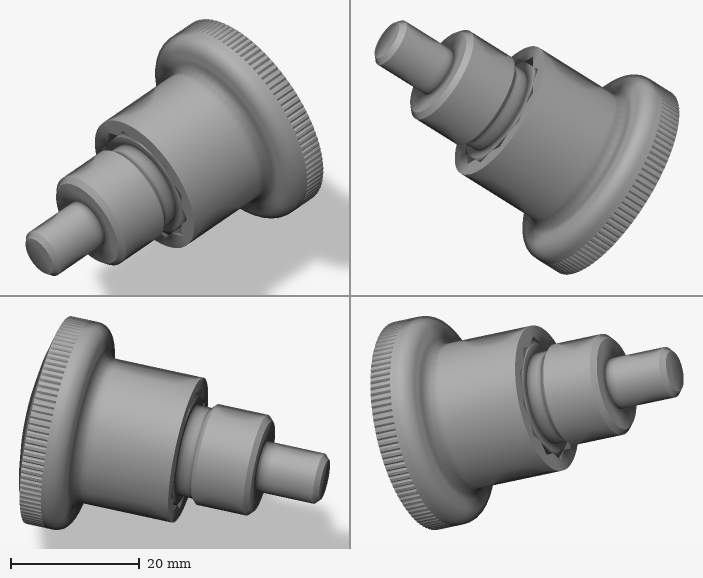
import cadquery as cq
import math

LENGTH = 47.4
TIP_Y = -22.0
THREAD_END_Y = -12.0
NECK_END_Y = -2.35
SLEEVE_TOP_Y = 14.05
KNURL_START_Y = 19.1
RIM_TOP_Y = 22.5
APEX_Y = TIP_Y + LENGTH

KNOB_R = 16.5
SLEEVE_R = 11.5
RIM_FILLET = 2.25
SLEEVE_FILLET = 1.5
UNDERSIDE_SLOPE = math.radians(10)

GROOVE_COUNT = 100
GROOVE_DEPTH = 0.3
GROOVE_ANGLE = math.radians(90)

HEX_FLATS = 17.0
SOCKET_DEPTH = 4.75
HEX_CHAMFER_ANGLE = math.radians(30)

NECK_R = 7.2
THREAD_R = 8.0
BORE_DIAMETER = 8.1
END_CHAMFER = 0.8

PIN_DIAMETER = 8.0
PIN_CHAMFER = 0.8


def hexagon(turn):
    """Hexagonal prism as deep as the socket, with a corner `turn` degrees from +X."""
    corner_diameter = HEX_FLATS / math.cos(math.pi / 6)
    prism = cq.Workplane("XZ").polygon(6, corner_diameter).extrude(-SOCKET_DEPTH)
    return prism.rotate((0, 0, 0), (0, 1, 0), turn)


def arc_middle(center, radius, start, end):
    """Point halfway along an arc given by its centre and end angles."""
    angle = (start + end) / 2
    return (center[0] + radius * math.cos(angle), center[1] + radius * math.sin(angle))


def knob_blank():
    """Turned knob: sleeve, sloped underside between two fillets, rim and domed top."""
    sin_slope = math.sin(UNDERSIDE_SLOPE)
    cos_slope = math.cos(UNDERSIDE_SLOPE)

    inner_center = (SLEEVE_R + SLEEVE_FILLET, SLEEVE_TOP_Y)
    inner_end = (inner_center[0] - SLEEVE_FILLET * sin_slope, SLEEVE_TOP_Y + SLEEVE_FILLET * cos_slope)
    inner_middle = arc_middle(inner_center, SLEEVE_FILLET, math.pi, math.pi / 2 + UNDERSIDE_SLOPE)

    outer_start_r = KNOB_R - RIM_FILLET + RIM_FILLET * sin_slope
    outer_start_y = inner_end[1] + (outer_start_r - inner_end[0]) * math.tan(UNDERSIDE_SLOPE)
    outer_center = (KNOB_R - RIM_FILLET, outer_start_y + RIM_FILLET * cos_slope)
    outer_middle = arc_middle(outer_center, RIM_FILLET, UNDERSIDE_SLOPE - math.pi / 2, 0)

    dome_height = APEX_Y - RIM_TOP_Y
    dome_r = (KNOB_R**2 + dome_height**2) / (2 * dome_height)
    dome_center = (0, APEX_Y - dome_r)
    dome_middle = arc_middle(dome_center, dome_r, math.acos(KNOB_R / dome_r), math.pi / 2)

    profile = (
        cq.Workplane("XY")
        .lineTo(SLEEVE_R, 0)
        .lineTo(SLEEVE_R, SLEEVE_TOP_Y)
        .threePointArc(inner_middle, inner_end)
        .lineTo(outer_start_r, outer_start_y)
        .threePointArc(outer_middle, (KNOB_R, outer_center[1]))
        .lineTo(KNOB_R, RIM_TOP_Y)
        .threePointArc(dome_middle, (0, APEX_Y))
        .close()
    )
    return profile.revolve(360, (0, 0, 0), (0, 1, 0))


def knurl_grooves():
    """V-shaped cutters around the rim, open towards the dome."""
    root_r = KNOB_R - GROOVE_DEPTH
    cutter_height = 2 * GROOVE_DEPTH
    half_width = cutter_height * math.tan(GROOVE_ANGLE / 2)
    groove = (
        cq.Workplane("XZ", origin=(0, KNURL_START_Y, 0))
        .moveTo(0, root_r)
        .lineTo(half_width, root_r + cutter_height)
        .lineTo(-half_width, root_r + cutter_height)
        .close()
        .extrude(KNURL_START_Y - APEX_Y)
        .val()
    )
    pitch = 360 / GROOVE_COUNT
    grooves = [groove.rotate((0, 0, 0), (0, 1, 0), i * pitch) for i in range(GROOVE_COUNT)]
    return cq.Workplane(cq.Compound.makeCompound(grooves))


def locking_pin():
    """Chamfered pin from the socket floor to the tip."""
    length = SOCKET_DEPTH - TIP_Y
    pin = cq.Workplane("XZ", origin=(0, SOCKET_DEPTH, 0)).circle(PIN_DIAMETER / 2).extrude(length)
    return pin.faces("<Y").chamfer(PIN_CHAMFER)


def make_knob():
    """Knurled knob with a twelve-point socket in its sleeve end and the pin fixed to the socket floor."""
    knob = knob_blank().cut(knurl_grooves())
    socketed = knob.cut(hexagon(0)).cut(hexagon(30))
    return socketed.union(locking_pin())


def guide_head():
    """Hexagon whose corners are chamfered to a cone touching the flats at the end face."""
    flat_r = HEX_FLATS / 2
    cone_r = flat_r + SOCKET_DEPTH / math.tan(HEX_CHAMFER_ANGLE)
    chamfer_cone = (
        cq.Workplane("XY")
        .polyline([(0, 0), (flat_r, 0), (cone_r, SOCKET_DEPTH), (0, SOCKET_DEPTH)])
        .close()
        .revolve(360, (0, 0, 0), (0, 1, 0))
    )
    return hexagon(0).intersect(chamfer_cone)


def guide_shank():
    """Neck and chamfered threaded section below the hexagon."""
    shank = (
        cq.Workplane("XY")
        .polyline([
            (0, 0),
            (NECK_R, 0),
            (NECK_R, NECK_END_Y),
            (THREAD_R, NECK_END_Y - END_CHAMFER),
            (THREAD_R, THREAD_END_Y + END_CHAMFER),
            (THREAD_R - END_CHAMFER, THREAD_END_Y),
            (0, THREAD_END_Y),
        ])
        .close()
    )
    return shank.revolve(360, (0, 0, 0), (0, 1, 0))


def make_guide():
    """Guide body with a through bore for the pin."""
    length = SOCKET_DEPTH - THREAD_END_Y
    bore = cq.Workplane("XZ", origin=(0, SOCKET_DEPTH, 0)).circle(BORE_DIAMETER / 2).extrude(length)
    return guide_head().union(guide_shank()).cut(bore)


knob = make_knob()
guide = make_guide()
result = cq.Compound.makeCompound([knob.solids().val(), guide.solids().val()])